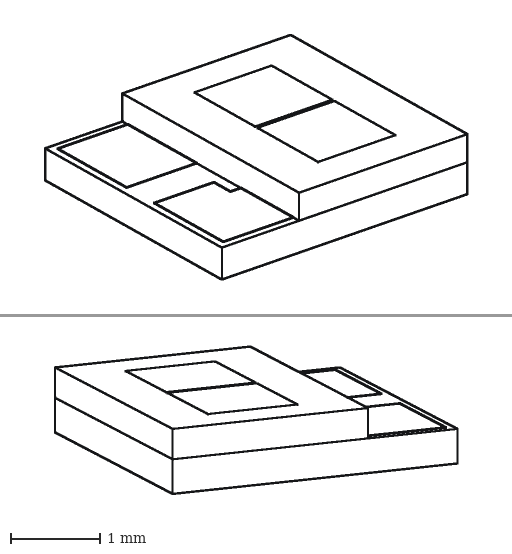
import cadquery as cq

width = 3.2
length = 3.5
substrate_height = 0.4

total_height = 0.75
ledge_length = 1.1
housing_length = length - ledge_length
housing_height = total_height - substrate_height
front_y = -length / 2
housing_front_y = front_y + ledge_length
housing_center_y = housing_front_y + housing_length / 2

chip_size = 1.1
chip_gap = 0.04
chip_pitch = chip_size + chip_gap
chip_centers = [(side * chip_pitch / 2, housing_center_y) for side in (-1, 1)]

pad_margin = 0.1
pad_width = 1.25
pad_length = ledge_length - pad_margin
pad_thickness = 0.007
pad_center_x = width / 2 - pad_margin - pad_width / 2
pad_center_y = front_y + pad_margin + pad_length / 2

notch_width = 0.3
notch_length = 0.15


def block(size_x, size_y, height, center_x, center_y, bottom_z):
    """Upright block placed by the centre of its bottom face."""
    return (
        cq.Workplane("XY")
        .box(size_x, size_y, height, centered=(True, True, False))
        .translate((center_x, center_y, bottom_z))
    )


def make_substrate():
    return block(width, length, substrate_height, 0, 0, 0)


def make_chip(center):
    """Die that stands on the substrate and fills its window in the housing."""
    return block(chip_size, chip_size, housing_height, *center, substrate_height)


def make_housing():
    """Housing block with one through window for each chip."""
    housing = block(width, housing_length, housing_height, 0, housing_center_y, substrate_height)
    for center in chip_centers:
        housing = housing.cut(make_chip(center))
    return housing


def make_pad(center_x):
    return block(pad_width, pad_length, pad_thickness, center_x, pad_center_y, substrate_height)


def make_notched_pad(center_x):
    notch_center_x = center_x - pad_width / 2 + notch_width / 2
    notch_center_y = housing_front_y - notch_length / 2
    notch = block(
        notch_width, notch_length, pad_thickness, notch_center_x, notch_center_y, substrate_height
    )
    return make_pad(center_x).cut(notch)


substrate = make_substrate()
housing = make_housing()
chips = [make_chip(center) for center in chip_centers]
left_pad = make_pad(-pad_center_x)
right_pad = make_notched_pad(pad_center_x)

result = cq.Compound.makeCompound([
    substrate.val(),
    housing.val(),
    *[chip.val() for chip in chips],
    left_pad.val(),
    right_pad.val(),
])